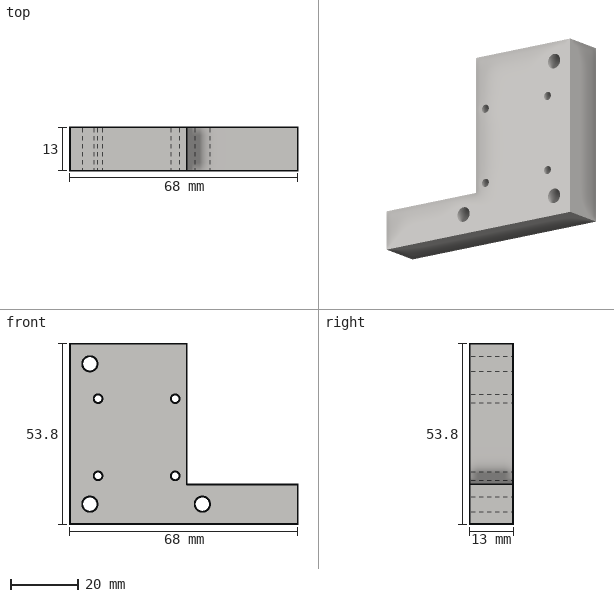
import cadquery as cq

length = 68.0
thickness = 13.0
height = 53.8
column_width = 34.9
arm_height = 11.9

mount_diameter = 4.5
mount_inset = 6.0
mount_spacing_x = 33.5

small_diameter = 2.5
small_spacing = 23.0
small_left = 8.4
small_bottom = 14.4


def l_plate():
    """L-shaped plate with its corner at the origin, extending along +Y."""
    outline = [
        (0, 0),
        (length, 0),
        (length, arm_height),
        (column_width, arm_height),
        (column_width, height),
        (0, height),
    ]
    return cq.Workplane("XZ").polyline(outline).close().extrude(-thickness)


def through_holes(centers, diameter):
    """Cylinders through the full thickness at the given (x, z) centers."""
    return cq.Workplane("XZ").pushPoints(centers).circle(diameter / 2).extrude(-thickness)


mount_centers = [
    (mount_inset, mount_inset),
    (mount_inset + mount_spacing_x, mount_inset),
    (mount_inset, height - mount_inset),
]
small_centers = [
    (small_left + column * small_spacing, small_bottom + row * small_spacing)
    for column in range(2)
    for row in range(2)
]

result = (
    l_plate()
    .cut(through_holes(mount_centers, mount_diameter))
    .cut(through_holes(small_centers, small_diameter))
)